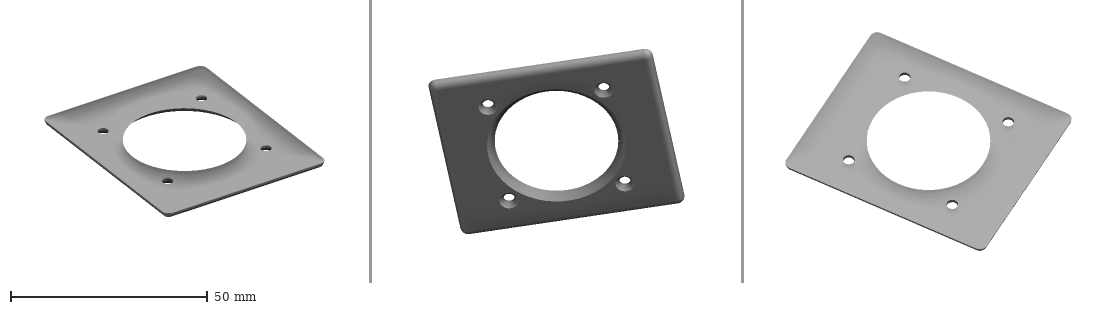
import cadquery as cq

length = 58.0
width = 49.0
thickness = 2.0
edge_radius = thickness

window_diameter = 31.5
screw_hole_diameter = 2.9
screw_spacing = 30.0
window_flare_depth = thickness
screw_flare_depth = thickness / 2

core_length = length - 2 * edge_radius
core_width = width - 2 * edge_radius


def rounded_bar(bar_length, axis):
    """Full round bar along the X or Y axis, centred on the top face."""
    plane = "YZ" if axis == "X" else "XZ"
    return cq.Workplane(plane).circle(edge_radius).extrude(bar_length / 2, both=True)


def rounded_plate():
    """Plate with quarter-round edges below and ball-shaped corners; top face at Z = 0."""
    plate = cq.Workplane("XY").rect(core_length, core_width).extrude(-thickness)
    for side in (-1, 1):
        plate = plate.union(rounded_bar(core_length, "X").translate((0, side * core_width / 2, 0)))
        plate = plate.union(rounded_bar(core_width, "Y").translate((side * core_length / 2, 0, 0)))
    corners = cq.Workplane("XY").rect(core_length, core_width, forConstruction=True).vertices()
    plate = plate.union(corners.sphere(edge_radius))
    lower_half = cq.Workplane("XY").rect(length, width).extrude(-thickness)
    return plate.intersect(lower_half)


def flared_cutter(diameter, flare_depth):
    """Round cutter, straight from the top, then widening at 45 degrees down to the underside."""
    radius = diameter / 2
    straight = cq.Workplane("XY").circle(radius).extrude(-thickness)
    flare = cq.Solid.makeCone(radius + flare_depth, radius, flare_depth, pnt=cq.Vector(0, 0, -thickness))
    return straight.union(cq.Workplane(flare))


def cut_openings(plate):
    """Central round window and four screw holes on a square pattern."""
    plate = plate.cut(flared_cutter(window_diameter, window_flare_depth))
    screw_cutter = flared_cutter(screw_hole_diameter, screw_flare_depth)
    for x in (-screw_spacing / 2, screw_spacing / 2):
        for y in (-screw_spacing / 2, screw_spacing / 2):
            plate = plate.cut(screw_cutter.translate((x, y, 0)))
    return plate


result = cut_openings(rounded_plate())